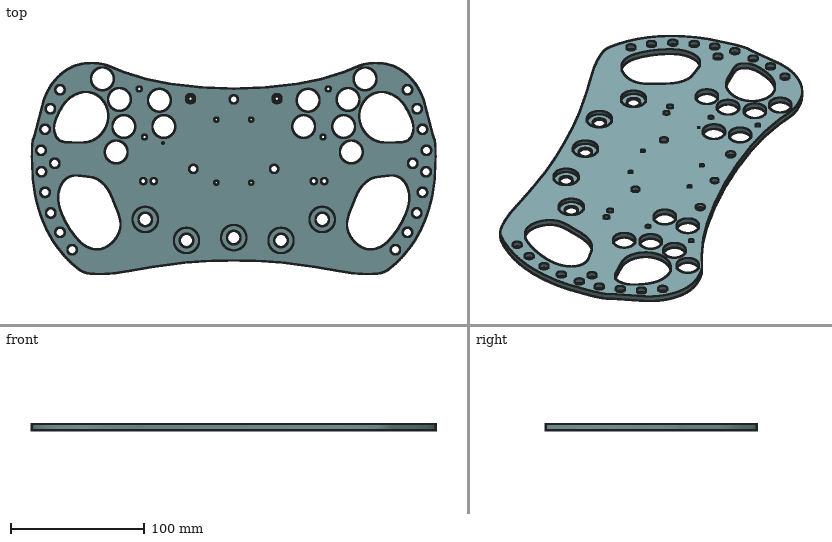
import cadquery as cq

length = 303.5
width = 158.7
thickness = 5.0
half_length = length / 2
half_width = width / 2
widest_y = 9.0
waist_top_y = 60.0
waist_bottom_y = -69.2
top_lobe_x = -106.2
bottom_lobe_x = -98.5

button_diameter = 17.0
rim_diameter = 7.0
mount_diameter = 6.0
paired_diameter = 4.5
pin_diameter = 3.5
board_diameter = 3.0
dial_diameter = 10.0
dial_recess_diameter = 19.0
dial_recess_depth = 3.3
screw_head_diameter = 7.0
screw_diameter = 3.5
screw_countersink_angle = 90
mark_diameter = 1.0

button_centres = [
    (-98.5, 67.5), (-86.0, 52.0), (-55.8, 51.3), (-82.5, 31.5), (-52.5, 31.5), (-88.3, 12.5),
]
rim_centres = [
    (-130.5, 59.2), (-137.8, 45.0), (-141.7, 29.5), (-144.8, 13.7), (-134.5, 4.0), (-144.5, -2.5),
    (-141.7, -18.0), (-137.5, -33.5), (-130.5, -48.0), (-121.5, -61.0),
]
mount_centres = [(-30.5, -0.3)]
paired_centres = [(-68.0, -9.5), (-60.0, -9.5)]
pin_centres = [(-71.0, 59.8), (-67.0, 23.7)]
board_centres = [(-13.0, 36.7), (-13.0, -10.5)]
screw_centres = [(-32.5, 52.5)]
dial_centres = [(-66.5, -38.2), (-35.5, -54.0)]

top_mount_centre = (0, 52.0)
middle_dial_centre = (0, -52.0)

mark_centre = (-53.0, 19.0)

upper_edge = [(-36.5, 62.2), (-63.7, 66.8), (-88.0, 74.7)]
upper_grip = [(-121.5, 76.5), (-137.0, 63.0), (-146.0, 40.0), (-150.0, 24.3)]
lower_grip = [(-148.7, -22.8), (-140.8, -45.5), (-126.3, -66.8), (-115.3, -76.5)]
lower_edge = [(-79.0, -77.0), (-39.5, -71.0)]

upper_opening = [
    (-113.0, 57.5), (-124.5, 52.0), (-132.0, 40.7), (-134.8, 28.0), (-131.0, 21.2), (-123.2, 19.7),
    (-106.0, 21.2), (-97.5, 28.8), (-94.5, 40.5), (-99.2, 52.2),
]
lower_opening = [
    (-116.0, -5.5), (-127.5, -9.0), (-131.7, -19.7), (-128.5, -35.8), (-118.5, -52.0),
    (-110.8, -58.5), (-101.7, -60.7), (-91.7, -55.8), (-85.3, -44.3), (-89.5, -26.7), (-96.8, -12.7),
    (-103.5, -7.5),
]


def mirrored(points):
    return [(-x, y) for x, y in points]


def both_sides(points):
    return points + mirrored(points)


def half_plate():
    left = (-1, 0)
    right = (1, 0)
    down = (0, -1)
    return (
        cq.Workplane("XY")
        .moveTo(0, waist_top_y)
        .spline(upper_edge + [(top_lobe_x, half_width)], tangents=[left, left], includeCurrent=True)
        .spline(upper_grip + [(-half_length, widest_y)], tangents=[left, down], includeCurrent=True)
        .spline(lower_grip + [(bottom_lobe_x, -half_width)], tangents=[down, right], includeCurrent=True)
        .spline(lower_edge + [(0, waist_bottom_y)], tangents=[right, right], includeCurrent=True)
        .close()
        .extrude(thickness)
    )


def plate():
    left_half = half_plate()
    return left_half.union(left_half.mirror("YZ")).clean()


def opening(points):
    return cq.Workplane("XY").spline(points, periodic=True).close().extrude(thickness)


def drill(body, centres, diameter):
    cutter = cq.Workplane("XY").pushPoints(centres).circle(diameter / 2).extrude(thickness)
    return body.cut(cutter)


def counterbore(body, centres, diameter, recess_diameter, recess_depth):
    recess = (
        cq.Workplane("XY", origin=(0, 0, thickness))
        .pushPoints(centres)
        .circle(recess_diameter / 2)
        .extrude(-recess_depth)
    )
    return drill(body, centres, diameter).cut(recess)


def countersink(body, centres, diameter, head_diameter, angle):
    return (
        body.copyWorkplane(cq.Workplane("XY", origin=(0, 0, thickness)))
        .pushPoints(centres)
        .cskHole(diameter, head_diameter, angle)
    )


result = plate()

for opening_points in (upper_opening, lower_opening):
    result = result.cut(opening(opening_points)).cut(opening(mirrored(opening_points)))

through_holes = [
    (both_sides(button_centres), button_diameter),
    (both_sides(rim_centres), rim_diameter),
    (both_sides(mount_centres) + [top_mount_centre], mount_diameter),
    (both_sides(paired_centres), paired_diameter),
    (both_sides(pin_centres), pin_diameter),
    (both_sides(board_centres), board_diameter),
    ([mark_centre], mark_diameter),
]
for centres, diameter in through_holes:
    result = drill(result, centres, diameter)

result = countersink(
    result, both_sides(screw_centres), screw_diameter, screw_head_diameter, screw_countersink_angle
)
result = counterbore(
    result,
    both_sides(dial_centres) + [middle_dial_centre],
    dial_diameter,
    dial_recess_diameter,
    dial_recess_depth,
)